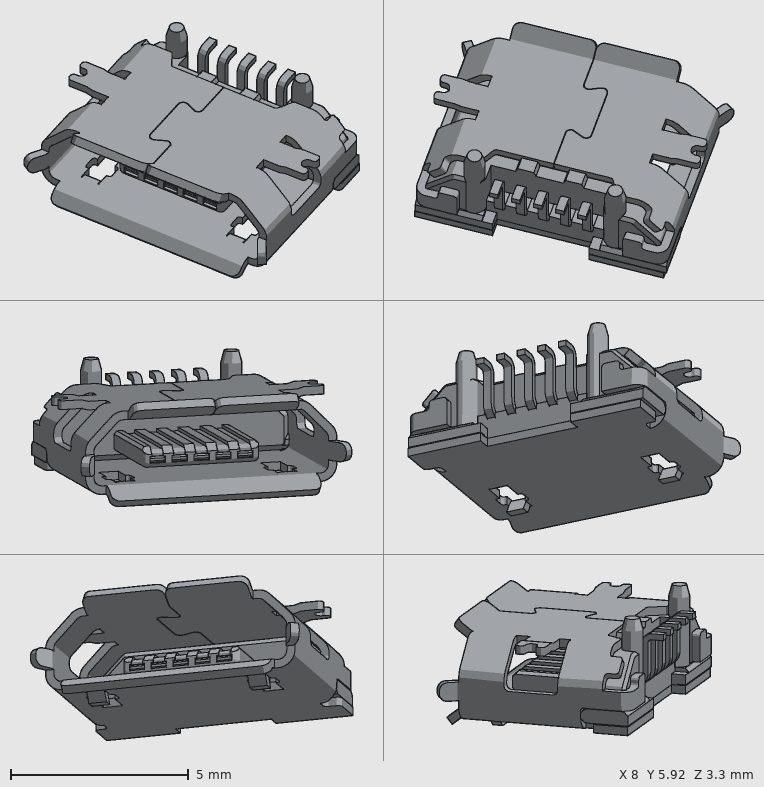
import cadquery as cq
import math


OVERSHOOT = 0.08

SHEET = 0.25
SHELL_HALF_WIDTH = 3.71
SHELL_HEIGHT = 2.35
BEND_RADIUS = 0.5
BEVEL = 0.9
TUBE_LENGTH = 4.26
CEILING = SHELL_HEIGHT - SHEET
INNER_HALF_WIDTH = SHELL_HALF_WIDTH - SHEET

SEAM_GAP = 0.02
DOVETAIL_DEPTH = 0.72
DOVETAIL_CENTER = 1.74
DOVETAIL_NECK = 1.3
DOVETAIL_HEAD = 1.97
DOVETAIL_RADIUS = 0.15

TOP_NOTCH_FRONT = 3.76
TOP_NOTCH_HALF_FRONT = 1.73
TOP_NOTCH_HALF_REAR = 2.01
TOP_NOTCH_RADIUS = 0.12

LIP_RADIUS = 0.24
TOP_LIP_HALF_WIDTH = 2.46
TOP_LIP_ANGLE = 35.0
TOP_LIP_LENGTH = 0.52
TOP_LIP_BEND = 0.08
BOTTOM_LIP_WIDTH = 6.21
BOTTOM_LIP_ANGLE = 40.0
BOTTOM_LIP_LENGTH = 0.33
BOTTOM_LIP_BEND = 0.32

EAR_BOTTOM = 0.62
EAR_HEIGHT = 0.54
EAR_ANGLE = 33.0
EAR_BEND = 0.11
HALF_SPAN = 4.0

WINDOW_FRONT = 1.34
WINDOW_REAR = 2.94
WINDOW_BOTTOM = 1.01
WINDOW_INNER_X = 2.56
WINDOW_RADIUS = 0.16

STRAP_CENTER = 2.17
STRAP_WIDTH = 0.89
STRAP_END = 3.91
STRAP_RISE = 0.06
STRAP_BEND_START = 3.09
STRAP_BEND_RADIUS = 0.16
STRAP_BEND_END = 3.28
STRAP_NOTCH_RADIUS = 0.17
STRAP_NOTCH_X = 3.73
STRAP_CORNER_RADIUS = 0.11

SPRING_X = 2.39
SPRING_HOLE_WIDTH = 0.58
SPRING_HOLE_FRONT = 0.46
SPRING_HOLE_REAR = 2.0
SPRING_BULGE_WIDTH = 0.85
SPRING_BULGE_FRONT = 0.88
SPRING_BULGE_REAR = 1.34
SPRING_BULGE_RADIUS = 0.08
SPRING_WIDTH = 0.53
SPRING_BEND = 0.06
SPRING_ANGLE = 59.0
SPRING_LENGTH = 0.48
SPRING_DEPTH = 0.27

CUTOUT_FRONT = 3.62
CUTOUT_TOP = 0.7
CUTOUT_RADIUS = 0.1
FLOOR_REAR = 5.02
FLOOR_TAB_FRONT = 3.96
FLOOR_TAB_LEFT = -3.62
FLOOR_TAB_RIGHT = 3.71
FLOOR_TAB_RADIUS = 0.14

WRAP_REAR = 5.1
WRAP_CORNER_RADIUS = 0.34
ARM_TOP = 1.24
FLAP_TOP = 1.54
FLAP_STEP_X = 3.0
FLAP_END_X = 2.44
FLAP_RADIUS = 0.11

HOOK_REAR = 4.66
HOOK_OUTER_X = 3.46
HOOK_INNER_X = 3.06
HOOK_RADIUS = 0.1

BODY_FRONT = 3.58
BODY_REAR = WRAP_REAR - SHEET
BODY_FRONT_CHAMFER = 0.17
BODY_REAR_CHAMFER = WRAP_CORNER_RADIUS - SHEET
BODY_BEVEL_GAP = 0.03

FLANGE_HALF_WIDTH = 3.7
FLANGE_BOTTOM = 0.27
FLANGE_TOP = 0.68
FLANGE_CHAMFER = 0.12

RECESS_FRONT = 4.15
RECESS_HALF_WIDTH = 1.73
RECESS_FLOOR_REAR = 4.6
RECESS_CORNER_RADIUS = 0.28

STOP_X = 0.7
STOP_TOP = 2.26
STOP_TOP_WIDTH = 0.47
STOP_SLOPE = 0.06

PEG_X = 2.07
PEG_Y = 4.61
PEG_DIAMETER = 0.6
PEG_TIP_DIAMETER = 0.42
PEG_SHOULDER = 2.67
PEG_TOP = 3.01

TONGUE_HALF_WIDTH = 1.73
TONGUE_FRONT = 0.88
TONGUE_BOTTOM = 0.5
TONGUE_TOP = 1.1
TONGUE_CORNER_RADIUS = 0.17
TONGUE_BOTTOM_RADIUS = 0.14
TONGUE_FRONT_CHAMFER = 0.2
TONGUE_SIDE_CHAMFER = 0.09

PIN_COUNT = 5
PIN_PITCH = 0.65
PIN_WIDTH = 0.25
PIN_THICKNESS = 0.18
FOOT_BEND = 0.11
BEAM_BEND = 0.24
PIN_REAR = 5.3
PIN_FOOT_TOP = 2.42
PIN_BEAM_TOP = 1.0
PIN_LEG_REAR = 4.85
BEAM_WIDTH = 0.34
BEAM_REAR = 3.76
BEAM_FRONT = 0.93
BEAM_RADIUS = 0.12
TIP_WIDTH = 0.45
TIP_BOTTOM = 0.64
TIP_LENGTH = 0.32
TIP_CHAMFER = 0.06


def box(x0, x1, y0, y1, z0, z1):
    return cq.Workplane("XY").box(x1 - x0, y1 - y0, z1 - z0, centered=False).translate((x0, y0, z0))


def both_sides(right):
    return right.union(right.mirror("YZ"))


def tube_section(inset, bevel_inset, y0, y1):
    """Solid bar with the tube outline moved inwards by `inset`, its 45 degree sides by `bevel_inset`."""
    half = SHELL_HALF_WIDTH - inset
    top = SHELL_HEIGHT - inset
    bevel = BEVEL - 2 * inset + math.sqrt(2) * bevel_inset
    outline = [
        (-half, inset), (half, inset), (half, top - bevel), (half - bevel, top),
        (bevel - half, top), (-half, top - bevel),
    ]
    bar = cq.Workplane("XZ", origin=(0, y0, 0)).polyline(outline).close().extrude(y0 - y1)
    return bar.edges("|Y").fillet(BEND_RADIUS - inset)


def bent_strip(origin, outward, toward, width, angle, bend, length, corner=0.0):
    """Sheet strip leaving `origin` along `outward`, bent by `angle` to the side `toward`.

    The origin is on the concave face, at mid width. The bend starts there, and a straight run of
    `length` follows it.
    """
    out_dir = cq.Vector(*outward)
    bend_dir = cq.Vector(*toward)
    plane = cq.Plane(origin=origin, xDir=outward, normal=out_dir.cross(bend_dir).toTuple())
    turn = math.radians(angle)
    sin, cos = math.sin(turn), math.cos(turn)

    def on_bend(radius, part):
        return (radius * math.sin(part * turn), bend - radius * math.cos(part * turn))

    near_end = on_bend(bend, 1)
    far_end = on_bend(bend + SHEET, 1)
    root = -SHEET / 2
    strip = (
        cq.Workplane(plane)
        .moveTo(root, 0)
        .lineTo(0, 0)
        .threePointArc(on_bend(bend, 0.5), near_end)
        .lineTo(near_end[0] + length * cos, near_end[1] + length * sin)
        .lineTo(far_end[0] + length * cos, far_end[1] + length * sin)
        .lineTo(*far_end)
        .threePointArc(on_bend(bend + SHEET, 0.5), (0, -SHEET))
        .lineTo(root, -SHEET)
        .close()
        .extrude(width / 2, both=True)
    )
    if corner:
        tip_edge = out_dir * sin - bend_dir * cos
        strip = strip.edges(cq.selectors.ParallelDirSelector(tip_edge)).fillet(corner)
    return strip



def tube():
    return tube_section(0, 0, 0, TUBE_LENGTH).cut(tube_section(SHEET, SHEET, 0, TUBE_LENGTH))


def seam():
    """Thin dovetailed gap along the middle of the roof."""
    neck = DOVETAIL_NECK / 2
    head = DOVETAIL_HEAD / 2
    front = -DOVETAIL_DEPTH
    rear = TUBE_LENGTH + DOVETAIL_DEPTH
    side = cq.Workplane("XY", origin=(0, 0, CEILING - OVERSHOOT)).polyline([
        (0, front), (0, DOVETAIL_CENTER - neck),
        (-DOVETAIL_DEPTH, DOVETAIL_CENTER - head), (-DOVETAIL_DEPTH, DOVETAIL_CENTER + head),
        (0, DOVETAIL_CENTER + neck), (0, rear), (HALF_SPAN, rear), (HALF_SPAN, front),
    ]).close().extrude(SHEET + 2 * OVERSHOOT)
    dovetail = cq.selectors.BoxSelector(
        (-DOVETAIL_DEPTH - OVERSHOOT, 0, 0), (OVERSHOOT, TUBE_LENGTH, 2 * SHELL_HEIGHT))
    side = side.edges("|Z").edges(dovetail).fillet(DOVETAIL_RADIUS)
    grown = side.faces("<Z").wires().toPending().offset2D(SEAM_GAP).extrude(SHEET + 2 * OVERSHOOT)
    return grown.cut(side).translate((SEAM_GAP / 2, 0, 0))


def roof_notch():
    notch = cq.Workplane("XY", origin=(0, 0, CEILING - OVERSHOOT)).polyline([
        (-TOP_NOTCH_HALF_FRONT, TOP_NOTCH_FRONT), (TOP_NOTCH_HALF_FRONT, TOP_NOTCH_FRONT),
        (TOP_NOTCH_HALF_REAR, TUBE_LENGTH), (-TOP_NOTCH_HALF_REAR, TUBE_LENGTH),
    ]).close().extrude(SHEET + 2 * OVERSHOOT)
    return notch.edges("|Z and <Y").fillet(TOP_NOTCH_RADIUS)


def side_window():
    top = SHELL_HEIGHT + OVERSHOOT
    window = box(WINDOW_INNER_X, HALF_SPAN, WINDOW_FRONT, WINDOW_REAR, WINDOW_BOTTOM, top)
    return window.edges("|X and <Z").fillet(WINDOW_RADIUS)


def solder_strap():
    """Strap from the roof through the window, stepped up and notched at its end."""
    top_line = [
        (WINDOW_INNER_X - OVERSHOOT, SHELL_HEIGHT), (STRAP_BEND_START, SHELL_HEIGHT),
        (STRAP_BEND_END, SHELL_HEIGHT + STRAP_RISE), (STRAP_END, SHELL_HEIGHT + STRAP_RISE),
    ]
    bottom_line = [(x, z - SHEET) for x, z in reversed(top_line)]
    strap = (
        cq.Workplane("XZ", origin=(0, STRAP_CENTER, 0))
        .polyline(top_line + bottom_line).close().extrude(STRAP_WIDTH / 2, both=True)
    )
    notch = (
        cq.Workplane("XY", origin=(STRAP_NOTCH_X, STRAP_CENTER, 0))
        .circle(STRAP_NOTCH_RADIUS).extrude(2 * SHELL_HEIGHT)
    )
    notch_mouth = box(
        STRAP_NOTCH_X, STRAP_END + OVERSHOOT,
        STRAP_CENTER - STRAP_NOTCH_RADIUS, STRAP_CENTER + STRAP_NOTCH_RADIUS, 0, 2 * SHELL_HEIGHT)
    first_bend = cq.selectors.BoxSelector(
        (STRAP_BEND_START - OVERSHOOT, 0, CEILING - OVERSHOOT),
        (STRAP_BEND_START + OVERSHOOT, TUBE_LENGTH, SHELL_HEIGHT + OVERSHOOT))
    strap = strap.edges("|Y").edges(first_bend).fillet(STRAP_BEND_RADIUS)
    return strap.cut(notch).cut(notch_mouth).edges("|Z and >X").fillet(STRAP_CORNER_RADIUS)


def top_lips():
    half_width = TOP_LIP_HALF_WIDTH - SEAM_GAP / 2
    center = (TOP_LIP_HALF_WIDTH + SEAM_GAP / 2) / 2
    return both_sides(bent_strip(
        (center, 0, SHELL_HEIGHT), (0, -1, 0), (0, 0, 1), half_width,
        TOP_LIP_ANGLE, TOP_LIP_BEND, TOP_LIP_LENGTH, corner=LIP_RADIUS))


def bottom_lip():
    return bent_strip(
        (0, 0, 0), (0, -1, 0), (0, 0, -1), BOTTOM_LIP_WIDTH,
        BOTTOM_LIP_ANGLE, BOTTOM_LIP_BEND, BOTTOM_LIP_LENGTH, corner=LIP_RADIUS)


def front_ear():
    turn = math.radians(EAR_ANGLE)
    bend_reach = EAR_BEND * (1 - math.cos(turn))
    length = (HALF_SPAN - SHELL_HALF_WIDTH - bend_reach) / math.sin(turn)
    return bent_strip(
        (SHELL_HALF_WIDTH, 0, EAR_BOTTOM + EAR_HEIGHT / 2), (0, -1, 0), (1, 0, 0), EAR_HEIGHT,
        EAR_ANGLE, EAR_BEND, length, corner=LIP_RADIUS)


def spring_hole():
    def opening(width, front, rear):
        return box(-width / 2, width / 2, front, rear, -OVERSHOOT, SHEET + OVERSHOOT)

    slot = opening(SPRING_HOLE_WIDTH, SPRING_HOLE_FRONT, SPRING_HOLE_REAR)
    bulge = opening(SPRING_BULGE_WIDTH, SPRING_BULGE_FRONT, SPRING_BULGE_REAR)
    bulge = bulge.edges("|Z").fillet(SPRING_BULGE_RADIUS)
    return slot.union(bulge).translate((SPRING_X, 0, 0))


def spring_finger():
    finger = bent_strip(
        (SPRING_X, SPRING_HOLE_FRONT, 0), (0, 1, 0), (0, 0, -1), SPRING_WIDTH,
        SPRING_ANGLE, SPRING_BEND, SPRING_LENGTH)
    return finger.intersect(box(0, HALF_SPAN, 0, SPRING_HOLE_REAR, -SPRING_DEPTH, SHEET))


def flange_cutout():
    cutout = box(SHELL_HALF_WIDTH - BEND_RADIUS, HALF_SPAN, CUTOUT_FRONT, FLOOR_REAR, -OVERSHOOT, CUTOUT_TOP)
    return cutout.edges("|X and <Y and >Z").fillet(CUTOUT_RADIUS)


def rear_floor():
    """Floor sheet behind the tube, with a wider tab and a gap for the contact legs."""
    half = SHELL_HALF_WIDTH - BEND_RADIUS
    strip = box(-half, half, CUTOUT_FRONT, FLOOR_REAR, 0, SHEET)
    tab = box(FLOOR_TAB_LEFT, FLOOR_TAB_RIGHT, FLOOR_TAB_FRONT, FLOOR_REAR, 0, SHEET)
    floor = strip.union(tab.edges("|Z and <Y").fillet(FLOOR_TAB_RADIUS))
    for x in (-half, half):
        inner_corner = cq.selectors.NearestToPointSelector((x, FLOOR_TAB_FRONT, SHEET / 2))
        floor = floor.edges("|Z").edges(inner_corner).fillet(FLOOR_TAB_RADIUS)
    return floor.cut(leg_gap())


def rear_wrap():
    """Side arm folded around the rear corner, ending in a raised flap."""
    start = TUBE_LENGTH - OVERSHOOT
    wrap = cq.Workplane("XY", origin=(0, 0, CUTOUT_TOP)).polyline([
        (SHELL_HALF_WIDTH, start), (SHELL_HALF_WIDTH, WRAP_REAR), (FLAP_END_X, WRAP_REAR),
        (FLAP_END_X, WRAP_REAR - SHEET), (INNER_HALF_WIDTH, WRAP_REAR - SHEET), (INNER_HALF_WIDTH, start),
    ]).close().extrude(FLAP_TOP - CUTOUT_TOP)
    wrap = wrap.edges("|Z and >X and >Y").fillet(WRAP_CORNER_RADIUS)
    inner_corner = cq.selectors.NearestToPointSelector(
        (INNER_HALF_WIDTH, WRAP_REAR - SHEET, (CUTOUT_TOP + FLAP_TOP) / 2))
    wrap = wrap.edges("|Z").edges(inner_corner).fillet(WRAP_CORNER_RADIUS - SHEET)

    r = FLAP_RADIUS
    k = r * math.sqrt(0.5)
    flap_outline = (
        cq.Workplane("XZ", origin=(0, start, 0))
        .moveTo(HALF_SPAN, 0).lineTo(HALF_SPAN, ARM_TOP).lineTo(FLAP_STEP_X + r, ARM_TOP)
        .threePointArc((FLAP_STEP_X + r - k, ARM_TOP + r - k), (FLAP_STEP_X, ARM_TOP + r))
        .lineTo(FLAP_STEP_X, FLAP_TOP - r)
        .threePointArc((FLAP_STEP_X - r + k, FLAP_TOP - r + k), (FLAP_STEP_X - r, FLAP_TOP))
        .lineTo(FLAP_END_X + r, FLAP_TOP)
        .threePointArc((FLAP_END_X + r - k, FLAP_TOP - r + k), (FLAP_END_X, FLAP_TOP - r))
        .lineTo(FLAP_END_X, 0).close().extrude(start - WRAP_REAR)
    )
    return wrap.intersect(flap_outline)


def rear_hook():
    """Small tongue that continues the 45 degree wall of the tube rearwards."""
    slope = math.sqrt(2)
    bevel_sum = SHELL_HALF_WIDTH - BEVEL + SHELL_HEIGHT
    middle_x = (HOOK_OUTER_X + HOOK_INNER_X) / 2
    width = (HOOK_OUTER_X - HOOK_INNER_X) * slope
    plane = cq.Plane(origin=(middle_x, TUBE_LENGTH, bevel_sum - middle_x), xDir=(0, 1, 0), normal=(-1, 0, -1))
    reach = HOOK_REAR - TUBE_LENGTH
    half = width / 2
    r = HOOK_RADIUS
    k = r * (1 - math.sqrt(0.5))
    return (
        cq.Workplane(plane)
        .moveTo(-OVERSHOOT, -half - r).lineTo(0, -half - r)
        .threePointArc((k, -half - k), (r, -half)).lineTo(reach - r, -half)
        .threePointArc((reach - k, -half + k), (reach, -half + r)).lineTo(reach, half - r)
        .threePointArc((reach - k, half - k), (reach - r, half)).lineTo(r, half)
        .threePointArc((k, half + k), (0, half + r)).lineTo(-OVERSHOOT, half + r).close()
        .extrude(SHEET)
    )


def make_shell():
    shell = (
        tube().cut(seam()).cut(roof_notch())
        .cut(both_sides(side_window())).cut(both_sides(spring_hole())).cut(both_sides(flange_cutout()))
    )
    shell = shell.union(rear_floor())
    for feature in (solder_strap(), front_ear(), spring_finger(), rear_wrap(), rear_hook()):
        shell = shell.union(feature).union(feature.mirror("YZ"))
    return shell.union(top_lips()).union(bottom_lip())



def pin_x(index):
    return (index - (PIN_COUNT - 1) / 2) * PIN_PITCH


def leg_gap():
    half = pin_x(PIN_COUNT - 1) + PIN_WIDTH / 2
    return box(-half, half, RECESS_FLOOR_REAR, PIN_REAR, -OVERSHOOT, SHELL_HEIGHT)


def make_pin(x):
    """Foot, upright leg and beam along the tongue, ending in a wider bevelled tip."""
    t = PIN_THICKNESS
    foot_bottom = PIN_FOOT_TOP - t
    beam_bottom = PIN_BEAM_TOP - t
    leg_front = PIN_LEG_REAR - t
    bends = cq.Workplane("YZ").polyline([
        (BEAM_REAR, beam_bottom), (PIN_LEG_REAR, beam_bottom), (PIN_LEG_REAR, foot_bottom),
        (PIN_REAR, foot_bottom), (PIN_REAR, PIN_FOOT_TOP), (leg_front, PIN_FOOT_TOP),
        (leg_front, PIN_BEAM_TOP), (BEAM_REAR, PIN_BEAM_TOP),
    ]).close().extrude(PIN_WIDTH / 2, both=True)

    def round_bend(solid, y, z, radius):
        return solid.edges("|X").edges(cq.selectors.NearestToPointSelector((0, y, z))).fillet(radius)

    bends = round_bend(bends, PIN_LEG_REAR, beam_bottom, BEAM_BEND + t)
    bends = round_bend(bends, leg_front, PIN_BEAM_TOP, BEAM_BEND)
    bends = round_bend(bends, leg_front, PIN_FOOT_TOP, FOOT_BEND + t)
    bends = round_bend(bends, PIN_LEG_REAR, foot_bottom, FOOT_BEND)

    beam = box(-BEAM_WIDTH / 2, BEAM_WIDTH / 2, BEAM_FRONT, BEAM_REAR, beam_bottom, PIN_BEAM_TOP)
    beam = beam.edges("|X and <Y and >Z").fillet(BEAM_RADIUS)
    tip = box(-TIP_WIDTH / 2, TIP_WIDTH / 2, BEAM_FRONT, BEAM_FRONT + TIP_LENGTH, TIP_BOTTOM, beam_bottom)
    tip = tip.edges("|X and <Y").chamfer(TIP_CHAMFER)
    return bends.union(beam).union(tip).translate((x, 0, 0))


def contact_space(x):
    """Room in the housing for one contact, open above the beam and in front of the tip."""
    beam_bottom = PIN_BEAM_TOP - PIN_THICKNESS
    channel = box(x - BEAM_WIDTH / 2, x + BEAM_WIDTH / 2, TONGUE_FRONT, BODY_FRONT, beam_bottom, TONGUE_TOP)
    mouth = box(x - TIP_WIDTH / 2, x + TIP_WIDTH / 2, TONGUE_FRONT, BEAM_FRONT + TIP_LENGTH,
                TIP_BOTTOM, beam_bottom)
    return channel.union(mouth).union(make_pin(x))



def recess():
    """Rear pocket above the contact beams; behind its floor it drops to the flange."""
    half = RECESS_HALF_WIDTH
    drop_floor = FLANGE_TOP - FLANGE_CHAMFER
    pocket = box(-half, half, RECESS_FRONT, FLOOR_REAR, PIN_BEAM_TOP, SHELL_HEIGHT)
    drop = box(-half, half, RECESS_FLOOR_REAR, FLOOR_REAR, drop_floor, SHELL_HEIGHT)
    return pocket.union(drop)


def recess_corner():
    """Material removed where the recess side rounds into the rear wall."""
    x0 = RECESS_HALF_WIDTH
    block = box(x0, x0 + RECESS_CORNER_RADIUS, BODY_REAR - RECESS_CORNER_RADIUS, BODY_REAR,
                FLANGE_TOP, SHELL_HEIGHT)
    post = (
        cq.Workplane("XY", origin=(x0 + RECESS_CORNER_RADIUS, BODY_REAR - RECESS_CORNER_RADIUS, 0))
        .circle(RECESS_CORNER_RADIUS).extrude(SHELL_HEIGHT)
    )
    return block.cut(post)


def housing_body():
    body = tube_section(SHEET, SHEET + BODY_BEVEL_GAP, BODY_FRONT, BODY_REAR)
    body = body.faces("<Y").edges().chamfer(BODY_FRONT_CHAMFER)
    body = body.faces(">Y").edges().chamfer(BODY_REAR_CHAMFER)
    return body.cut(both_sides(recess_corner()))


def rear_flange():
    c = FLANGE_CHAMFER
    front = CUTOUT_FRONT
    rear = FLOOR_REAR
    return cq.Workplane("YZ").polyline([
        (front + c, FLANGE_BOTTOM), (rear, FLANGE_BOTTOM), (rear, FLANGE_TOP - c), (rear - c, FLANGE_TOP),
        (front + c, FLANGE_TOP), (front, FLANGE_TOP - c), (front, FLANGE_BOTTOM + c),
    ]).close().extrude(FLANGE_HALF_WIDTH, both=True)


def roof_stop():
    """Raised trapezoidal block behind the rear edge of the roof."""
    half = STOP_TOP_WIDTH / 2
    return cq.Workplane("XZ", origin=(STOP_X, TOP_NOTCH_FRONT, 0)).polyline([
        (-half - STOP_SLOPE, CEILING - OVERSHOOT), (-half - STOP_SLOPE, CEILING), (-half, STOP_TOP),
        (half, STOP_TOP), (half + STOP_SLOPE, CEILING), (half + STOP_SLOPE, CEILING - OVERSHOOT),
    ]).close().extrude(TOP_NOTCH_FRONT - RECESS_FRONT)


def peg():
    r = PEG_DIAMETER / 2
    tip = PEG_TIP_DIAMETER / 2
    return (
        cq.Workplane("XZ")
        .polyline([(0, FLANGE_TOP), (r, FLANGE_TOP), (r, PEG_SHOULDER), (tip, PEG_TOP), (0, PEG_TOP)])
        .close().revolve(360, (0, 0, 0), (0, 1, 0)).translate((PEG_X, PEG_Y, 0))
    )


def tongue():
    rear = BODY_FRONT + BODY_FRONT_CHAMFER
    c = TONGUE_FRONT_CHAMFER
    bar = cq.Workplane("YZ").polyline([
        (TONGUE_FRONT, TONGUE_BOTTOM), (rear, TONGUE_BOTTOM), (rear, TONGUE_TOP),
        (TONGUE_FRONT + c, TONGUE_TOP), (TONGUE_FRONT, TONGUE_TOP - c),
    ]).close().extrude(TONGUE_HALF_WIDTH, both=True)
    bar = bar.edges("|Z and <Y").fillet(TONGUE_CORNER_RADIUS)
    bar = bar.faces("<Z").edges("not >Y").fillet(TONGUE_BOTTOM_RADIUS)
    return bar.cut(both_sides(tongue_edge()))


def tongue_edge():
    """Prism that chamfers one upper side edge of the tongue."""
    c = TONGUE_SIDE_CHAMFER
    return cq.Workplane("XZ").polyline([
        (TONGUE_HALF_WIDTH - c, TONGUE_TOP), (TONGUE_HALF_WIDTH, TONGUE_TOP),
        (TONGUE_HALF_WIDTH, TONGUE_TOP - c),
    ]).close().extrude(-BODY_FRONT)


def make_housing():
    housing = housing_body().union(rear_flange()).cut(recess()).cut(leg_gap())
    housing = housing.union(both_sides(roof_stop())).union(both_sides(peg())).union(tongue())
    for index in range(PIN_COUNT):
        housing = housing.cut(contact_space(pin_x(index)))
    return housing


shell = make_shell()
housing = make_housing()
pins = [make_pin(pin_x(index)) for index in range(PIN_COUNT)]

result = cq.Compound.makeCompound([shell.val(), housing.val(), *[pin.val() for pin in pins]])